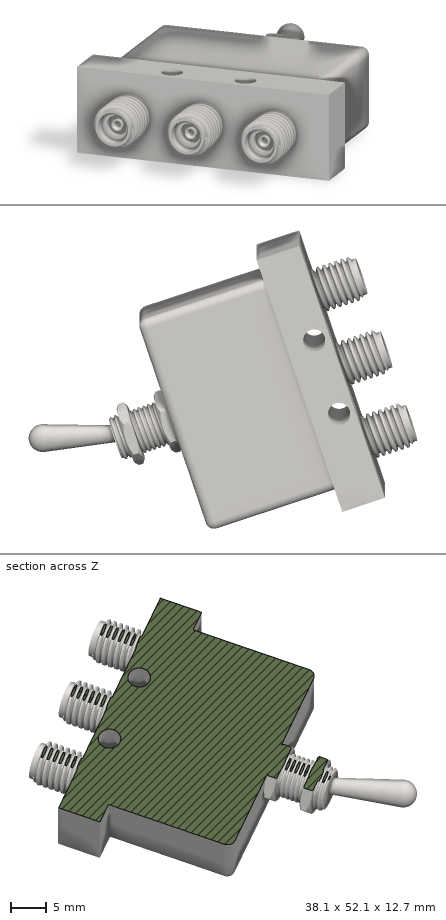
import cadquery as cq
import math


OVERALL_LENGTH = 52.05

FLANGE_WIDTH = 38.1
FLANGE_DEPTH = 6.35
FLANGE_HEIGHT = 12.7
MOUNT_HOLE_DIAMETER = 3.1
MOUNT_HOLE_SETBACK = 2.3

CASE_WIDTH = 31.75
CASE_DEPTH = 18.85
CASE_HEIGHT = 12.2
CASE_FILLET = 1.2

CONNECTOR_SPACING = 11.1
CONNECTOR_LENGTH = 6.6
CONNECTOR_CORE_DIAMETER = 5.3
CONNECTOR_THREAD_DIAMETER = 6.4
CONNECTOR_THREAD_START = -0.25
CONNECTOR_THREAD_END = 6.1
CONNECTOR_THREAD_TURNS = 7
SOCKET_DIAMETER = 4.55
SOCKET_DEPTH = 1.55
INSULATOR_BORE_DIAMETER = 3.0
INSULATOR_BORE_DEPTH = 1.05
PIN_DIAMETER = 1.65
PIN_MOUTH_DIAMETER = 1.35
PIN_HOLE_DIAMETER = 0.85
PIN_HOLE_DEPTH = 1.55

BUSHING_LENGTH = 8.55
BUSHING_CORE_DIAMETER = 5.85
BUSHING_THREAD_DIAMETER = 6.4
BUSHING_THREAD_START = 0.15
BUSHING_THREAD_END = 8.65
BUSHING_THREAD_TURNS = 12

NUT_SIDES = 6
NUT_ACROSS_FLATS = 8.0
NUT_THICKNESS = 1.5
NUT_CHAMFER_HEIGHT = 0.4
OUTER_NUT_OFFSET = 5.5

LEVER_TILT = 15.0
LEVER_PIVOT_DEPTH = 2.75
LEVER_PIVOT_RADIUS = 1.0
LEVER_TIP_RADIUS = 2.0

CREST_WIDTH_RATIO = 0.3
ROOT_WIDTH_RATIO = 0.9
THREAD_OVERLAP = 0.1

CASE_BACK = FLANGE_DEPTH + CASE_DEPTH
BUSHING_END = CASE_BACK + BUSHING_LENGTH
LEVER_PIVOT = BUSHING_END - LEVER_PIVOT_DEPTH
LEVER_TIP = OVERALL_LENGTH - CONNECTOR_LENGTH


def cylinder(diameter, start, end):
    """Cylinder along Z between two heights."""
    return cq.Workplane("XY").workplane(offset=start).circle(diameter / 2).extrude(end - start)


def thread(core_diameter, thread_diameter, start, end, turns, trim_height):
    """Right-handed helical ridge around Z, bevelled to the core at the trim height."""
    pitch = (end - start) / turns
    root_radius = core_diameter / 2 - THREAD_OVERLAP
    crest_radius = thread_diameter / 2
    half_root = ROOT_WIDTH_RATIO * pitch / 2
    half_crest = CREST_WIDTH_RATIO * pitch / 2
    helix = cq.Wire.makeHelix(pitch, end - start, root_radius)
    ridge = (
        cq.Workplane("XZ")
        .polyline([
            (root_radius, -half_root),
            (crest_radius, -half_crest),
            (crest_radius, half_crest),
            (root_radius, half_root),
        ])
        .close()
        .sweep(cq.Workplane(helix), isFrenet=True)
    )
    envelope = cylinder(thread_diameter + 2 * THREAD_OVERLAP, 0, trim_height)
    bevel = (thread_diameter - core_diameter) / 2 + THREAD_OVERLAP
    envelope = envelope.faces(">Z").chamfer(bevel)
    return ridge.translate((0, 0, start)).intersect(envelope)


def flange():
    body = cq.Workplane("XY").box(FLANGE_WIDTH, FLANGE_DEPTH, FLANGE_HEIGHT)
    body = body.translate((0, FLANGE_DEPTH / 2, 0))
    for side in (-1, 1):
        hole = cylinder(MOUNT_HOLE_DIAMETER, -FLANGE_HEIGHT / 2, FLANGE_HEIGHT / 2)
        body = body.cut(hole.translate((side * CONNECTOR_SPACING / 2, MOUNT_HOLE_SETBACK, 0)))
    return body


def case():
    body = cq.Workplane("XY").box(CASE_WIDTH, CASE_DEPTH, CASE_HEIGHT)
    body = body.edges("|Y or >Y").fillet(CASE_FILLET)
    return body.translate((0, FLANGE_DEPTH + CASE_DEPTH / 2, 0))


def connector():
    """Coaxial jack pointing along -Y from the flange face."""
    insulator_face = CONNECTOR_LENGTH - SOCKET_DEPTH
    body = cylinder(CONNECTOR_CORE_DIAMETER, 0, CONNECTOR_LENGTH)
    body = body.union(thread(
        CONNECTOR_CORE_DIAMETER,
        CONNECTOR_THREAD_DIAMETER,
        CONNECTOR_THREAD_START,
        CONNECTOR_THREAD_END,
        CONNECTOR_THREAD_TURNS,
        CONNECTOR_THREAD_END,
    ))
    body = body.cut(cylinder(SOCKET_DIAMETER, insulator_face, CONNECTOR_LENGTH))
    bore = cylinder(INSULATOR_BORE_DIAMETER, insulator_face - INSULATOR_BORE_DEPTH, insulator_face)
    pin = cylinder(PIN_DIAMETER, insulator_face - INSULATOR_BORE_DEPTH, insulator_face)
    pin_hole = cylinder(PIN_HOLE_DIAMETER, insulator_face - PIN_HOLE_DEPTH, insulator_face)
    mouth_depth = (PIN_MOUTH_DIAMETER - PIN_HOLE_DIAMETER) / 2
    mouth = (
        cq.Workplane("XY")
        .workplane(offset=insulator_face - mouth_depth)
        .circle(PIN_HOLE_DIAMETER / 2)
        .workplane(offset=mouth_depth)
        .circle(PIN_MOUTH_DIAMETER / 2)
        .loft()
    )
    body = body.cut(bore.cut(pin)).cut(pin_hole).cut(mouth)
    return body.rotate((0, 0, 0), (1, 0, 0), 90)


def nut():
    """Hexagon nut along Z with two opposite corners on X and both rims chamfered."""
    across_corners = NUT_ACROSS_FLATS / math.cos(math.pi / NUT_SIDES)
    corner_radius = across_corners / 2
    chamfer_width = corner_radius - NUT_ACROSS_FLATS / 2
    body = cq.Workplane("XY").polygon(NUT_SIDES, across_corners).extrude(NUT_THICKNESS)
    envelope = cylinder(across_corners, 0, NUT_THICKNESS)
    envelope = envelope.faces("<Z or >Z").chamfer(NUT_CHAMFER_HEIGHT, chamfer_width)
    return body.intersect(envelope)


def bushing():
    """Threaded bushing with its two nuts, pointing along +Y from the back of the case."""
    body = cylinder(BUSHING_CORE_DIAMETER, 0, BUSHING_LENGTH)
    body = body.union(thread(
        BUSHING_CORE_DIAMETER,
        BUSHING_THREAD_DIAMETER,
        BUSHING_THREAD_START,
        BUSHING_THREAD_END,
        BUSHING_THREAD_TURNS,
        BUSHING_LENGTH,
    ))
    for offset in (0, OUTER_NUT_OFFSET):
        body = body.union(nut().translate((0, 0, offset)))
    return body.rotate((0, 0, 0), (1, 0, 0), -90).translate((0, CASE_BACK, 0))


def lever():
    """Tapered bat lever with a ball end, tilted towards -X."""
    tip_rise = LEVER_TIP - LEVER_TIP_RADIUS - LEVER_PIVOT
    ball_centre = tip_rise / math.cos(math.radians(LEVER_TILT))
    arc_part = LEVER_TIP_RADIUS * math.sqrt(0.5)
    body = (
        cq.Workplane("XY")
        .lineTo(LEVER_PIVOT_RADIUS, 0)
        .lineTo(LEVER_TIP_RADIUS, ball_centre)
        .threePointArc((arc_part, ball_centre + arc_part), (0, ball_centre + LEVER_TIP_RADIUS))
        .close()
        .revolve(360, (0, 0, 0), (0, 1, 0))
    )
    return body.rotate((0, 0, 0), (0, 0, 1), LEVER_TILT).translate((0, LEVER_PIVOT, 0))


result = flange().union(case()).union(bushing()).union(lever())
for column in (-1, 0, 1):
    result = result.union(connector().translate((column * CONNECTOR_SPACING, 0, 0)))